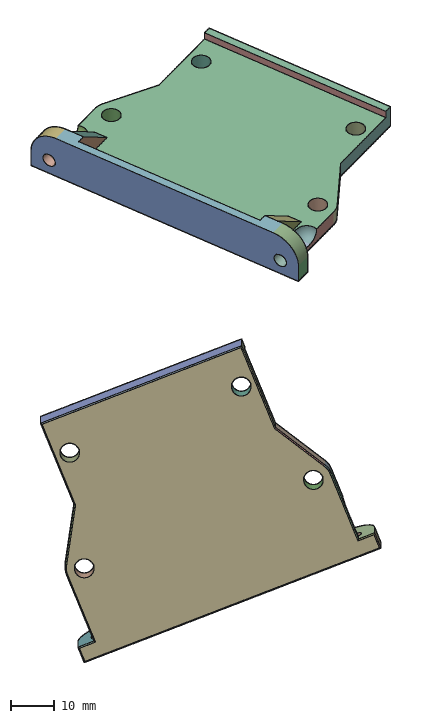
import cadquery as cq
import math

wall_width = 74.0
depth = 57.1
wall_height = 12.0

plate_top = 4.4
narrow_half_width = 25.1
wide_half_width = 33.0
taper_angle = 60.0
bottom_chamfer = 0.3

lip_thickness = 2.0
lip_top = 6.3

end_block_thickness = 4.0
thin_wall_thickness = end_block_thickness / 2
wall_corner_radius = 6.95

mount_hole_diameter = 4.5
rear_hole_x = 21.4
rear_hole_y = 48.1
front_hole_x = 28.6
front_hole_y = 21.1

wall_hole_x = 32.0
wall_hole_diameter = 3.4
groove_radius = 2.8
groove_end_y = 14.0

rib_thickness = 3.55
rib_end_y = groove_end_y


def block(x_min, x_max, y_min, y_max, z_min, z_max):
    """Box given by its limits along each axis."""
    size = (x_max - x_min, y_max - y_min, z_max - z_min)
    return cq.Workplane("XY").box(*size, centered=False).translate((x_min, y_min, z_min))


def make_plate():
    """Plate that tapers to the rear, with corners concentric to the front mounting holes."""
    corner_radius = wide_half_width - front_hole_x
    slope = math.radians(taper_angle)
    turn = math.pi / 2 - slope
    corner_y = front_hole_y + corner_radius * math.tan(turn / 2)
    taper_end_y = corner_y + (wide_half_width - narrow_half_width) * math.tan(slope)
    right_side = [
        (wide_half_width, 0),
        (wide_half_width, corner_y),
        (narrow_half_width, taper_end_y),
        (narrow_half_width, depth),
    ]
    left_side = [(-x, y) for x, y in reversed(right_side)]
    plate = cq.Workplane("XY").polyline(right_side + left_side).close().extrude(plate_top)
    corner_box = cq.selectors.BoxSelector(
        (-wall_width, corner_y - 0.75, 0), (wall_width, corner_y + 0.75, plate_top)
    )
    return plate.edges("|Z").edges(corner_box).fillet(corner_radius)


def make_front_wall():
    """Full-width wall with rounded upper ends."""
    half_width = wall_width / 2
    wall = block(-half_width, half_width, 0, end_block_thickness, 0, wall_height)
    wall = wall.edges("|Y and >Z").fillet(wall_corner_radius)
    return wall.cut(
        block(-narrow_half_width, narrow_half_width,
              thin_wall_thickness, end_block_thickness, plate_top, wall_height)
    )


def make_rear_lip():
    return block(-narrow_half_width, narrow_half_width, depth - lip_thickness, depth, 0, lip_top)


def make_rib(x_start):
    profile = [
        (end_block_thickness, plate_top),
        (rib_end_y, plate_top),
        (end_block_thickness, wall_height),
    ]
    return cq.Workplane("YZ").polyline(profile).close().extrude(rib_thickness).translate((x_start, 0, 0))


def make_groove(x_center):
    """Cylinder along Y starting at the wall, closed by a spherical end."""
    sphere_y = groove_end_y - groove_radius
    cylinder = (
        cq.Workplane("XZ", origin=(x_center, end_block_thickness, plate_top))
        .circle(groove_radius)
        .extrude(end_block_thickness - sphere_y)
    )
    ball = cq.Workplane("XY").sphere(groove_radius).translate((x_center, sphere_y, plate_top))
    return cylinder.union(ball)


def make_wall_hole(x_center):
    return (
        cq.Workplane("XZ", origin=(x_center, 0, plate_top))
        .circle(wall_hole_diameter / 2)
        .extrude(-end_block_thickness)
    )


result = make_plate().union(make_front_wall()).union(make_rear_lip())
result = result.faces("<Z").edges().chamfer(bottom_chamfer)

for side in (-1, 1):
    result = result.cut(make_groove(side * wall_hole_x))
    result = result.cut(make_wall_hole(side * wall_hole_x))
    rib_center = side * (narrow_half_width + rib_thickness / 2)
    result = result.union(make_rib(rib_center - rib_thickness / 2))

mount_hole_centers = [
    (side * x, y)
    for x, y in ((rear_hole_x, rear_hole_y), (front_hole_x, front_hole_y))
    for side in (-1, 1)
]
mount_holes = (
    cq.Workplane("XY")
    .pushPoints(mount_hole_centers)
    .circle(mount_hole_diameter / 2)
    .extrude(plate_top)
)
result = result.cut(mount_holes)